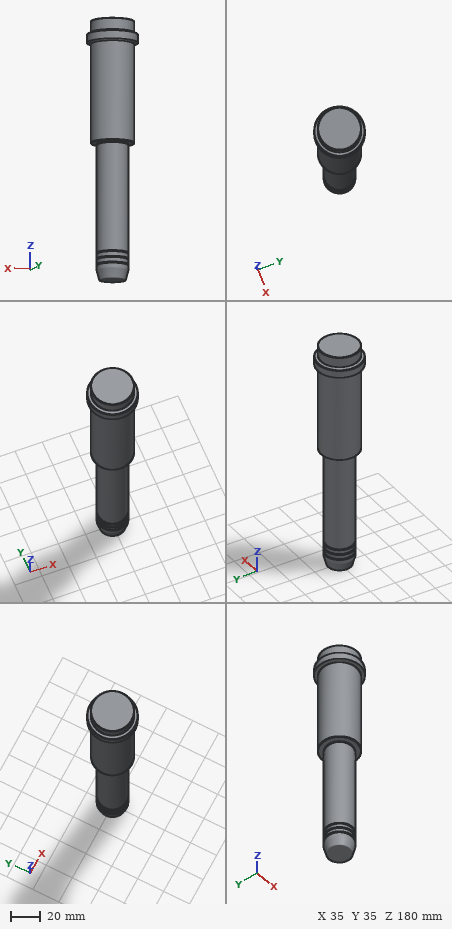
import cadquery as cq
import math

total_length = 180.0
body_diameter = 30.0
collar_diameter = 35.0
shaft_diameter = 22.0

body_bottom = 95.0
collar_bottom = 165.0
collar_height = 6.0
collar_top = collar_bottom + collar_height

body_chamfer = 0.5
collar_chamfer = 0.5

relief_radius = 0.5

neck_height = 1.0
neck_diameter = 21.0

groove_radius = 0.5
groove_pitch = 4.0
groove_count = 3
lowest_groove_level = 10.5

taper_height = 7.0
taper_angle = math.radians(15.0)
tip_diameter = shaft_diameter - 2 * taper_height * math.tan(taper_angle)
tip_fillet = 0.5


def add_groove(profile, surface_radius, section_radius, level):
    """Run an upward profile from the lower to the upper lip of a half-round groove."""
    groove_bottom = (surface_radius - section_radius, level)
    upper_lip = (surface_radius, level + section_radius)
    return profile.threePointArc(groove_bottom, upper_lip)


def add_shaft(profile):
    """Taper, shaft with its lubrication grooves, and neck."""
    shaft_radius = shaft_diameter / 2
    neck_bottom = body_bottom - neck_height
    profile = profile.lineTo(tip_diameter / 2, 0).lineTo(shaft_radius, taper_height)
    for index in range(groove_count):
        level = lowest_groove_level + index * groove_pitch
        profile = profile.lineTo(shaft_radius, level - groove_radius)
        profile = add_groove(profile, shaft_radius, groove_radius, level)
    profile = profile.lineTo(shaft_radius, neck_bottom)
    return profile.lineTo(neck_diameter / 2, neck_bottom).lineTo(neck_diameter / 2, body_bottom)


def add_body_and_collar(profile):
    """Chamfered body with the collar and a relief groove on each side of it."""
    body_radius = body_diameter / 2
    collar_radius = collar_diameter / 2
    profile = profile.lineTo(body_radius - body_chamfer, body_bottom)
    profile = profile.lineTo(body_radius, body_bottom + body_chamfer)
    profile = profile.lineTo(body_radius, collar_bottom - 2 * relief_radius)
    profile = add_groove(profile, body_radius, relief_radius, collar_bottom - relief_radius)
    profile = profile.lineTo(collar_radius, collar_bottom)
    profile = profile.lineTo(collar_radius, collar_top - collar_chamfer)
    profile = profile.lineTo(collar_radius - collar_chamfer, collar_top)
    profile = profile.lineTo(body_radius, collar_top)
    profile = add_groove(profile, body_radius, relief_radius, collar_top + relief_radius)
    profile = profile.lineTo(body_radius, total_length - body_chamfer)
    return profile.lineTo(body_radius - body_chamfer, total_length)


def turned_pin():
    """Solid of revolution about Z from half of the axial section."""
    profile = cq.Workplane("XZ").moveTo(0, 0)
    profile = add_shaft(profile)
    profile = add_body_and_collar(profile)
    profile = profile.lineTo(0, total_length).close()
    return profile.revolve(360, (0, 0, 0), (0, 1, 0))


def round_tip(pin):
    """Round the lower rim of the taper."""
    return pin.faces("<Z").edges().fillet(tip_fillet)


result = round_tip(turned_pin())